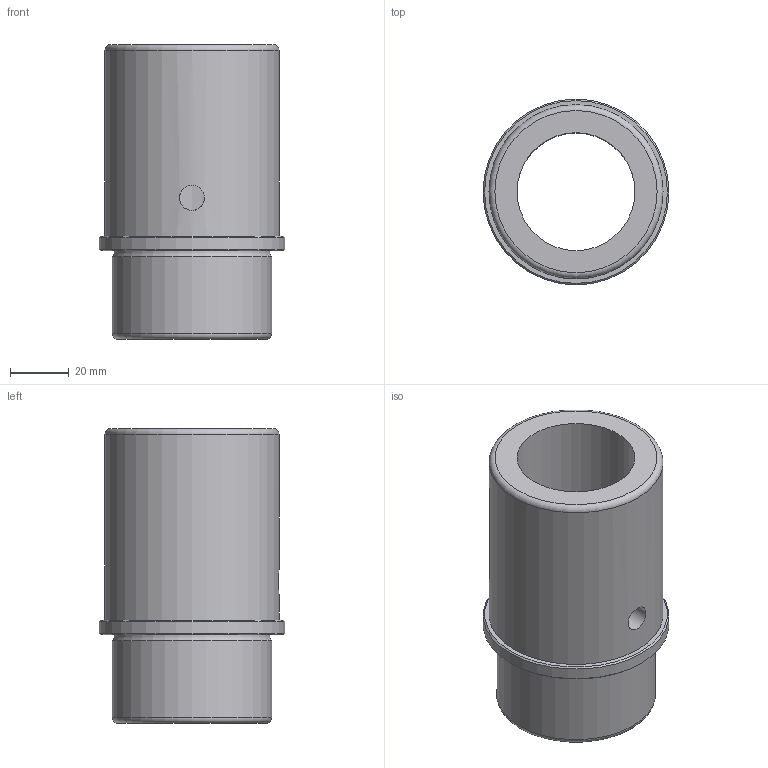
import cadquery as cq

total_length = 100.0
bore_radius = 20.0

spigot_radius = 27.0
spigot_edge_round = 2.0

groove_depth = 0.7
groove_width = 2.0

collar_radius = 31.5
collar_bottom = 30.0
collar_thickness = 5.0
collar_chamfer = 0.5
collar_top = collar_bottom + collar_thickness

barrel_radius = 29.5
barrel_edge_round = 2.0

hole_diameter = 8.5
hole_height = 48.0


def cylinder(radius, bottom, top):
    """Solid cylinder on the Z axis between two heights."""
    return cq.Workplane("XY").workplane(offset=bottom).circle(radius).extrude(top - bottom)


def make_spigot():
    """Spigot with a rounded lower edge and a concave relief groove at its top."""
    groove_radius = spigot_radius - groove_depth
    groove_bottom = collar_bottom - groove_width
    groove_arc_radius = (groove_width**2 + groove_depth**2) / (2 * groove_depth)
    plain = cylinder(spigot_radius, 0, groove_bottom).faces("<Z").edges().fillet(spigot_edge_round)
    neck = (
        cq.Workplane("XZ")
        .moveTo(0, groove_bottom)
        .lineTo(spigot_radius, groove_bottom)
        .radiusArc((groove_radius, collar_bottom), groove_arc_radius)
        .lineTo(0, collar_bottom)
        .close()
        .revolve(360, (0, 0, 0), (0, 1, 0))
    )
    return plain.union(neck)


def make_collar():
    """Locating collar with both outer edges chamfered."""
    return cylinder(collar_radius, collar_bottom, collar_top).edges().chamfer(collar_chamfer)


def make_barrel():
    """Main barrel with a rounded top edge."""
    barrel = cylinder(barrel_radius, collar_top, total_length)
    return barrel.faces(">Z").edges().fillet(barrel_edge_round)


def radial_hole():
    """Cutter running from the part axis out through the -Y wall."""
    plane = cq.Workplane("XZ", origin=(0, 0, hole_height))
    return plane.circle(hole_diameter / 2).extrude(collar_radius)


body = make_spigot().union(make_collar()).union(make_barrel())
bore = cylinder(bore_radius, 0, total_length)
result = body.cut(bore).cut(radial_hole())